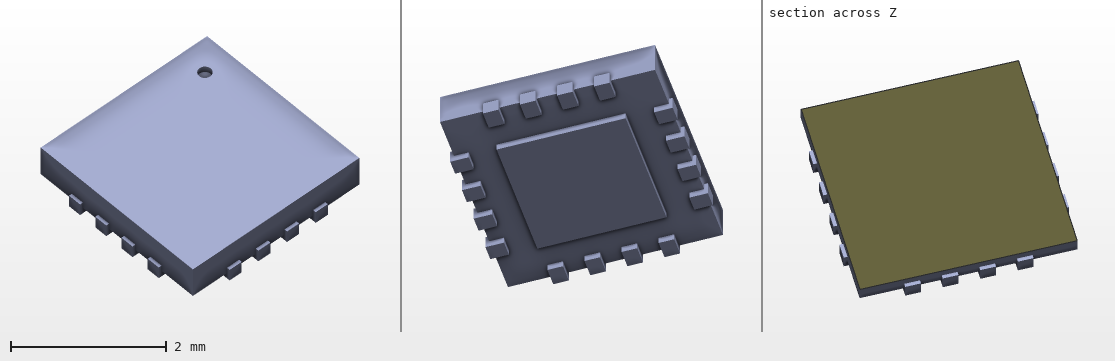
import cadquery as cq

overall_size = 3.0
overall_height = 0.6

lead_count = 4
lead_pitch = 0.5
lead_width = 0.21
lead_length = 0.25
lead_height = 0.2
lead_protrusion = 0.05

standoff = 0.1
body_size = overall_size - 2 * lead_protrusion
body_height = overall_height - standoff

pad_size = 1.74

mark_diameter = 0.2
mark_depth = 0.1
mark_inset = 0.45


def block(size_x, size_y, height, bottom):
    """Box centred on the Z axis, standing on the given level."""
    return (
        cq.Workplane("XY")
        .workplane(offset=bottom)
        .box(size_x, size_y, height, centered=(True, True, False))
    )


def lead_row():
    """Row of leads along the +X side."""
    row_x = (overall_size - lead_length) / 2
    first_y = -lead_pitch * (lead_count - 1) / 2
    lead = block(lead_length, lead_width, lead_height, 0)
    row = cq.Workplane("XY")
    for index in range(lead_count):
        row = row.add(lead.translate((row_x, first_y + index * lead_pitch, 0)))
    return row.combine()


def pin_one_mark():
    """Round cutter at the -X, +Y corner of the top face."""
    mark_offset = body_size / 2 - mark_inset
    return (
        cq.Workplane("XY")
        .workplane(offset=overall_height - mark_depth)
        .center(-mark_offset, mark_offset)
        .circle(mark_diameter / 2)
        .extrude(mark_depth)
    )


result = block(body_size, body_size, body_height, standoff)
result = result.union(block(pad_size, pad_size, standoff, 0))
for side_angle in (0, 90, 180, 270):
    result = result.union(lead_row().rotate((0, 0, 0), (0, 0, 1), side_angle))
result = result.cut(pin_one_mark())